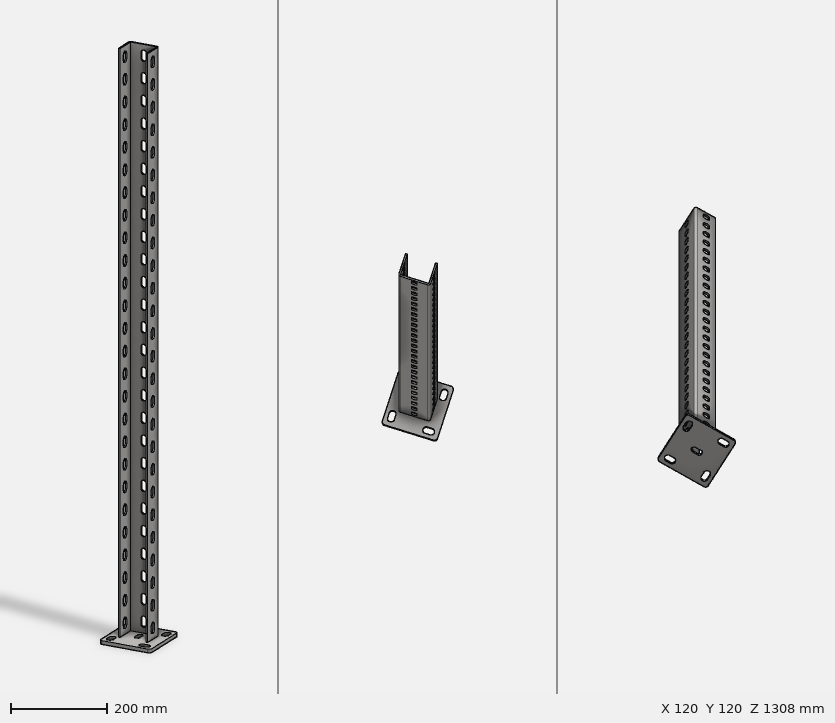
import cadquery as cq

total_height = 1308.0
plate_side = 120.0
plate_thickness = 8.5
plate_corner_radius = 7.0

channel_width = 69.0
channel_depth = 50.0
wall = 4.0
bend_radius = 5.0
post_height = total_height - plate_thickness

slot_count = 26
slot_pitch = post_height / slot_count
slot_length = 25.0
web_slot_width = 12.0
flange_slot_width = 15.0
flange_slot_y = -3.0

corner_slot_width = 15.0
corner_slot_along = 38.0
corner_slot_across = 45.0


def make_plate():
    """Square base plate with rounded corners, four fixing slots and a centre slot."""
    plate = cq.Workplane("XY").rect(plate_side, plate_side).extrude(plate_thickness)
    plate = plate.edges("|Z").fillet(plate_corner_radius)
    centre_slot = cq.Workplane("XY").slot2D(slot_length, web_slot_width, 90).extrude(plate_thickness)
    plate = plate.cut(centre_slot)
    corner_slot = (
        cq.Workplane("XY")
        .center(-corner_slot_along, corner_slot_across)
        .slot2D(slot_length, corner_slot_width)
        .extrude(plate_thickness)
    )
    for quarter in range(4):
        plate = plate.cut(corner_slot.rotate((0, 0, 0), (0, 0, 1), 90 * quarter))
    return plate


def make_channel():
    """Channel standing on the plate, web on the +Y side, rounded on its outer corners only."""
    base = cq.Workplane("XY").workplane(offset=plate_thickness)
    outer = base.rect(channel_width, channel_depth).extrude(post_height)
    outer = outer.edges("|Z and >Y").fillet(bend_radius)
    inner = base.center(0, -wall).rect(channel_width - 2 * wall, channel_depth).extrude(post_height)
    return outer.cut(inner)


def slot_column(plane, across, width, reach):
    """Column of upright slots, reaching equally far to both sides of the given plane."""
    first_centre = plate_thickness + slot_pitch / 2
    centres = [(across, first_centre + i * slot_pitch) for i in range(slot_count)]
    return cq.Workplane(plane).pushPoints(centres).slot2D(slot_length, width, 90).extrude(reach, both=True)


web_slots = slot_column("XZ", 0, web_slot_width, channel_depth)
flange_slots = slot_column("YZ", flange_slot_y, flange_slot_width, channel_width)

channel = make_channel().cut(web_slots).cut(flange_slots)
result = make_plate().union(channel)